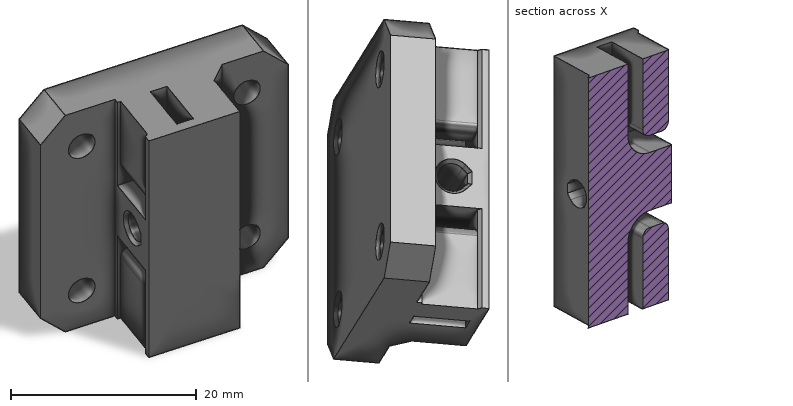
import cadquery as cq
import math

plate_size = 30.0
plate_thickness = 5.0
corner_chamfer = 3.0
plate_hole_offset = 10.0

block_height = 8.0
block_front = -6.0
block_back = 5.0
root_chamfer = 2.0

hole_diameter = 3.2
countersink_diameter = 4.0
teardrop_clearance = 0.1

channel_offset = 0.6
channel_width = 6.2
channel_gap = 2.0
channel_mouth = 3.5
recess_depth = 0.4
bend_radius = 3.0
mouth_round = 1.0

half_size = plate_size / 2
channel_start = plate_thickness + channel_offset
overall_height = plate_thickness + block_height
hole_radius = hole_diameter / 2
countersink_radius = countersink_diameter / 2
countersink_depth = countersink_radius - hole_radius
slant = math.sqrt(0.5)
block_screw_x = plate_thickness + block_height / 2


def make_body():
    """Plate with cut corners plus the block, which runs the full height."""
    plate = (
        cq.Workplane("YZ")
        .rect(plate_size, plate_size)
        .extrude(plate_thickness)
        .edges("|X")
        .chamfer(corner_chamfer)
    )
    block = (
        cq.Workplane("XY")
        .workplane(offset=-half_size)
        .moveTo(0, block_front)
        .lineTo(overall_height, block_front)
        .lineTo(overall_height, block_back)
        .lineTo(plate_thickness + root_chamfer, block_back)
        .lineTo(plate_thickness, block_back + root_chamfer)
        .lineTo(0, block_back + root_chamfer)
        .close()
        .extrude(plate_size)
    )
    return plate.union(block)


def plate_hole(y, z):
    """Through hole along X, countersunk on the outer face."""
    shaft = cq.Workplane("YZ").center(y, z).circle(hole_radius).extrude(plate_thickness)
    sink = cq.Solid.makeCone(
        countersink_radius,
        hole_radius,
        countersink_depth,
        cq.Vector(0, y, z),
        cq.Vector(1, 0, 0),
    )
    return shaft.union(cq.Workplane(sink))


def teardrop(radius, y):
    """Wire normal to Y: circle with a 45 degree roof, flattened on the +X side."""
    tangent = radius * slant
    flat = radius + teardrop_clearance
    half_flat = 2 * tangent - flat
    return (
        cq.Workplane("XZ", origin=(block_screw_x, y, 0))
        .moveTo(tangent, tangent)
        .threePointArc((-radius, 0), (tangent, -tangent))
        .lineTo(flat, -half_flat)
        .lineTo(flat, half_flat)
        .close()
        .wire()
        .val()
    )


def block_screw_hole():
    """Teardrop hole along Y through the block, flared at its front end."""
    shaft = cq.Solid.makeLoft(
        [teardrop(hole_radius, block_front), teardrop(hole_radius, block_back)],
        True,
    )
    flare = cq.Solid.makeLoft(
        [
            teardrop(countersink_radius, block_front),
            teardrop(hole_radius, block_front + countersink_depth),
        ],
        True,
    )
    return cq.Workplane(shaft).union(cq.Workplane(flare))


def belt_channel():
    """Upper channel: in from the front face, round a bend and out of the top at Y = 0.

    The recess leading into it has a 45 degree wall on its +X side.
    """
    recess_floor = block_front + recess_depth
    inner_bend = bend_radius - channel_gap
    ceiling = channel_mouth + channel_gap
    mouth_inset = mouth_round * (1 - slant)
    bend_y = -bend_radius
    bend_z = channel_mouth + bend_radius
    passage = (
        cq.Workplane("YZ", origin=(channel_start, 0, 0))
        .moveTo(block_front, channel_mouth)
        .lineTo(bend_y, channel_mouth)
        .threePointArc((bend_y + bend_radius * slant, bend_z - bend_radius * slant), (0, bend_z))
        .lineTo(0, half_size)
        .lineTo(-channel_gap, half_size)
        .lineTo(-channel_gap, bend_z)
        .threePointArc((bend_y + inner_bend * slant, bend_z - inner_bend * slant), (bend_y, ceiling))
        .lineTo(recess_floor + mouth_round, ceiling)
        .threePointArc(
            (recess_floor + mouth_inset, ceiling + mouth_inset),
            (recess_floor, ceiling + mouth_round),
        )
        .lineTo(recess_floor, half_size)
        .lineTo(block_front, half_size)
        .close()
        .extrude(channel_width)
    )
    channel_end = channel_start + channel_width
    run_out = (
        cq.Workplane("XY", origin=(0, 0, channel_mouth))
        .moveTo(channel_end, recess_floor)
        .lineTo(channel_end + recess_depth, block_front)
        .lineTo(channel_end, block_front)
        .close()
        .extrude(half_size - channel_mouth)
    )
    return passage.union(run_out)


result = make_body()
for hole_y in (-plate_hole_offset, plate_hole_offset):
    for hole_z in (-plate_hole_offset, plate_hole_offset):
        result = result.cut(plate_hole(hole_y, hole_z))
result = result.cut(block_screw_hole())
upper_channel = belt_channel()
result = result.cut(upper_channel).cut(upper_channel.mirror("XY"))